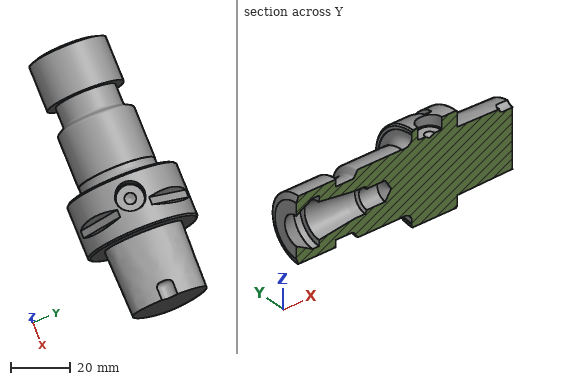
import cadquery as cq
import math


NUT_LENGTH = 17.3
NUT_RADIUS = 14.0
NUT_FACE_RADIUS = 11.45
NUT_LIP_RADIUS = 11.75
NUT_LIP_DEPTH = 0.1
NUT_CHAMFER_END = 0.9

NECK_RADIUS = 11.0
NECK_CONE_START = 24.9
NECK_CONE_ANGLE = 60.0
NECK_FILLET = 1.1
BODY_RADIUS = 14.0
BODY_END = 45.75
COLLAR_RADIUS = 13.9
FLANGE_FILLET = 3.0

FLANGE_START = 50.0
FLANGE_LENGTH = 20.0
FLANGE_END = FLANGE_START + FLANGE_LENGTH
FLANGE_RADIUS = 20.0
FLANGE_CHAMFER = 0.6
FLANGE_RIM_RADIUS = 18.2
FLANGE_FACE_RECESS = 0.1

SHANK_LENGTH = 24.0
TOTAL_LENGTH = FLANGE_END + SHANK_LENGTH
SHANK_MEAN_RADIUS = 14.07
SHANK_LOBE = 0.9
SHANK_TAPER = 1 / 40
SHANK_POINTS = 48

MOUTH_RADIUS = 6.17
MOUTH_HALF_ANGLE = 30.0
CAVITY_RADIUS = 10.25
CAVITY_END = 9.86
SEAT_HALF_ANGLE = 8.0
SEAT_START_RADIUS = 7.75
SEAT_END_RADIUS = 5.5
SEAT_BORE_LENGTH = 4.0
PILOT_RADIUS = 4.25
PILOT_LENGTH = 8.0
DRILL_HALF_ANGLE = 59.0

GROOVE_X = 62.0
GROOVE_COUNT = 4
GROOVE_FLOOR_RADIUS = 17.64
GROOVE_FLOOR_WIDTH = 2.7
GROOVE_SIDE_ANGLE = 30.0

POCKET_X = 58.0
POCKET_RADIUS = 5.2
POCKET_FLOOR_Z = 14.9
POCKET_FLOOR_BEVEL = 0.35
DIMPLE_RADIUS = 2.0

SLOT_RADIUS = 3.6
SLOT_LENGTH = 5.9
SLOT_END_FILLET = 1.8
SLOT_AXIS_Z = 14.6


def tangent(degrees):
    return math.tan(math.radians(degrees))


def make_turned_body():
    """Nut, neck, body and flange as one revolved outline."""
    cone_length = (BODY_RADIUS - NECK_RADIUS) / tangent(NECK_CONE_ANGLE)
    cone_end = NECK_CONE_START + cone_length
    step = BODY_RADIUS - COLLAR_RADIUS
    face_x = FLANGE_START + FLANGE_FACE_RECESS
    outline = (
        cq.Workplane("XY")
        .moveTo(0, 0)
        .lineTo(0, NUT_FACE_RADIUS)
        .lineTo(NUT_LIP_DEPTH, NUT_LIP_RADIUS)
        .lineTo(NUT_CHAMFER_END, NUT_RADIUS)
        .lineTo(NUT_LENGTH, NUT_RADIUS)
        .lineTo(NUT_LENGTH, NECK_RADIUS)
        .lineTo(NECK_CONE_START, NECK_RADIUS)
        .lineTo(cone_end, BODY_RADIUS)
        .lineTo(BODY_END, BODY_RADIUS)
        .lineTo(BODY_END + step, COLLAR_RADIUS)
        .lineTo(face_x - FLANGE_FILLET, COLLAR_RADIUS)
        .radiusArc((face_x, COLLAR_RADIUS + FLANGE_FILLET), -FLANGE_FILLET)
        .lineTo(face_x, FLANGE_RIM_RADIUS - FLANGE_FACE_RECESS)
        .lineTo(FLANGE_START, FLANGE_RIM_RADIUS)
        .lineTo(FLANGE_START, FLANGE_RADIUS - FLANGE_CHAMFER)
        .lineTo(FLANGE_START + FLANGE_CHAMFER, FLANGE_RADIUS)
        .lineTo(FLANGE_END - FLANGE_CHAMFER, FLANGE_RADIUS)
        .lineTo(FLANGE_END, FLANGE_RADIUS - FLANGE_CHAMFER)
        .lineTo(FLANGE_END, 0)
        .close()
    )
    body = outline.revolve(360, (0, 0, 0), (1, 0, 0))
    reach = 2 * BODY_RADIUS
    margin = NECK_FILLET / 10
    cone_edges = cq.selectors.BoxSelector(
        (NECK_CONE_START - margin, -reach, -reach),
        (cone_end + margin, reach, reach),
        boundingbox=True,
    )
    return body.edges(cone_edges).edges("%CIRCLE").fillet(NECK_FILLET)


def shank_wire_points(mean_radius):
    """Envelope of tangent lines at distance mean_radius + lobe * cos(3 * angle) from the axis."""
    points = []
    for index in range(SHANK_POINTS):
        angle = 2 * math.pi * index / SHANK_POINTS
        distance = mean_radius + SHANK_LOBE * math.cos(3 * angle)
        slope = -3 * SHANK_LOBE * math.sin(3 * angle)
        down = distance * math.cos(angle) - slope * math.sin(angle)
        across = distance * math.sin(angle) + slope * math.cos(angle)
        points.append((across, -down))
    return points


def make_shank():
    """Tapered three-lobed shank from the flange to the end of the part."""
    end_radius = SHANK_MEAN_RADIUS - SHANK_LENGTH * SHANK_TAPER
    return (
        cq.Workplane("YZ", origin=(FLANGE_END, 0, 0))
        .spline(shank_wire_points(SHANK_MEAN_RADIUS), periodic=True)
        .close()
        .workplane(offset=SHANK_LENGTH)
        .spline(shank_wire_points(end_radius), periodic=True)
        .close()
        .loft(ruled=True)
    )


def make_collet_seat():
    """Cavity behind the nut mouth, tapered seat, straight bore and drilled pilot hole."""
    cavity_start = (CAVITY_RADIUS - MOUTH_RADIUS) / tangent(MOUTH_HALF_ANGLE)
    seat_end = CAVITY_END + (SEAT_START_RADIUS - SEAT_END_RADIUS) / tangent(SEAT_HALF_ANGLE)
    bore_end = seat_end + SEAT_BORE_LENGTH
    pilot_start = bore_end + (SEAT_END_RADIUS - PILOT_RADIUS) / tangent(DRILL_HALF_ANGLE)
    pilot_end = pilot_start + PILOT_LENGTH
    tip = pilot_end + PILOT_RADIUS / tangent(DRILL_HALF_ANGLE)
    outline = [
        (0, 0),
        (0, MOUTH_RADIUS),
        (cavity_start, CAVITY_RADIUS),
        (CAVITY_END, CAVITY_RADIUS),
        (CAVITY_END, SEAT_START_RADIUS),
        (seat_end, SEAT_END_RADIUS),
        (bore_end, SEAT_END_RADIUS),
        (pilot_start, PILOT_RADIUS),
        (pilot_end, PILOT_RADIUS),
        (tip, 0),
    ]
    return cq.Workplane("XY").polyline(outline).close().revolve(360, (0, 0, 0), (1, 0, 0))


def make_groove(angle):
    """Trapezoidal groove running tangentially across the flange."""
    depth = FLANGE_RADIUS - GROOVE_FLOOR_RADIUS
    half_floor = GROOVE_FLOOR_WIDTH / 2
    half_top = half_floor + depth * tangent(GROOVE_SIDE_ANGLE)
    section = [
        (GROOVE_X - half_floor, GROOVE_FLOOR_RADIUS),
        (GROOVE_X + half_floor, GROOVE_FLOOR_RADIUS),
        (GROOVE_X + half_top, FLANGE_RADIUS),
        (GROOVE_X - half_top, FLANGE_RADIUS),
    ]
    groove = cq.Workplane("XZ").polyline(section).close().extrude(FLANGE_RADIUS, both=True)
    return groove.rotate((0, 0, 0), (1, 0, 0), angle)


def make_pocket():
    """Flat-floored round pocket with a beveled floor edge and a conical dimple."""
    dimple_tip = POCKET_FLOOR_Z - DIMPLE_RADIUS / tangent(DRILL_HALF_ANGLE)
    outline = [
        (0, dimple_tip),
        (DIMPLE_RADIUS, POCKET_FLOOR_Z),
        (POCKET_RADIUS - POCKET_FLOOR_BEVEL, POCKET_FLOOR_Z),
        (POCKET_RADIUS, POCKET_FLOOR_Z + POCKET_FLOOR_BEVEL),
        (POCKET_RADIUS, FLANGE_RADIUS),
        (0, FLANGE_RADIUS),
    ]
    pocket = cq.Workplane("XZ").polyline(outline).close().revolve(360, (0, 0, 0), (0, 1, 0))
    return pocket.translate((POCKET_X, 0, 0))


def make_drive_slot():
    """Round-bottomed slot along X with a rounded blind end."""
    start = TOTAL_LENGTH - SLOT_LENGTH
    slot = cq.Workplane("YZ", origin=(start, 0, SLOT_AXIS_Z)).circle(SLOT_RADIUS).extrude(SLOT_LENGTH)
    return slot.faces("<X").edges().fillet(SLOT_END_FILLET)


result = make_turned_body().union(make_shank())
result = result.cut(make_collet_seat())
for number in range(GROOVE_COUNT):
    groove_angle = 360 / GROOVE_COUNT * (number + 0.5)
    result = result.cut(make_groove(groove_angle))
result = result.cut(make_pocket()).cut(make_drive_slot())